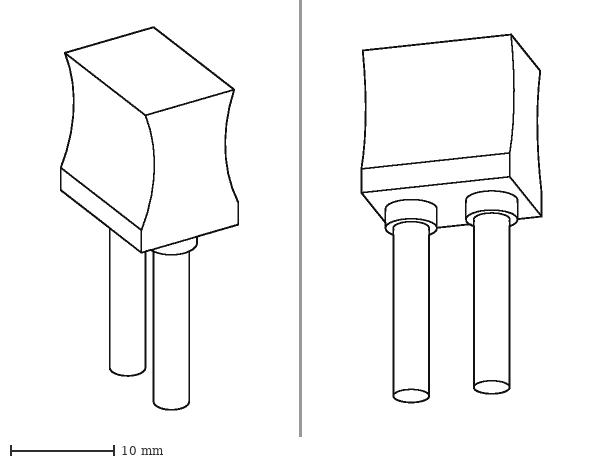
import cadquery as cq

width = 15.0
block_height = 15.0
base_depth = 11.0
top_depth = 10.1
base_height = 2.5
waist_depth = 8.07

total_height = 34.5
pin_spacing = 8.15
collar_diameter = 5.0
collar_height = 2.0
pin_diameter = 3.5


def grip_block():
    """Block standing on Z = 0, with a concave arc along its front and back."""
    waist_z = (base_height + block_height) / 2
    return (
        cq.Workplane("YZ")
        .moveTo(-base_depth / 2, 0)
        .lineTo(base_depth / 2, 0)
        .lineTo(base_depth / 2, base_height)
        .threePointArc((waist_depth / 2, waist_z), (top_depth / 2, block_height))
        .lineTo(-top_depth / 2, block_height)
        .threePointArc((-waist_depth / 2, waist_z), (-base_depth / 2, base_height))
        .close()
        .extrude(width / 2, both=True)
    )


def stepped_pin(x):
    """Collar and pin hanging below the block at the given X."""
    pin_length = total_height - block_height - collar_height
    return (
        cq.Workplane("XY")
        .center(x, 0)
        .circle(collar_diameter / 2)
        .extrude(-collar_height)
        .faces("<Z")
        .workplane()
        .circle(pin_diameter / 2)
        .extrude(pin_length)
    )


result = grip_block()
for side in (-1, 1):
    result = result.union(stepped_pin(side * pin_spacing / 2))